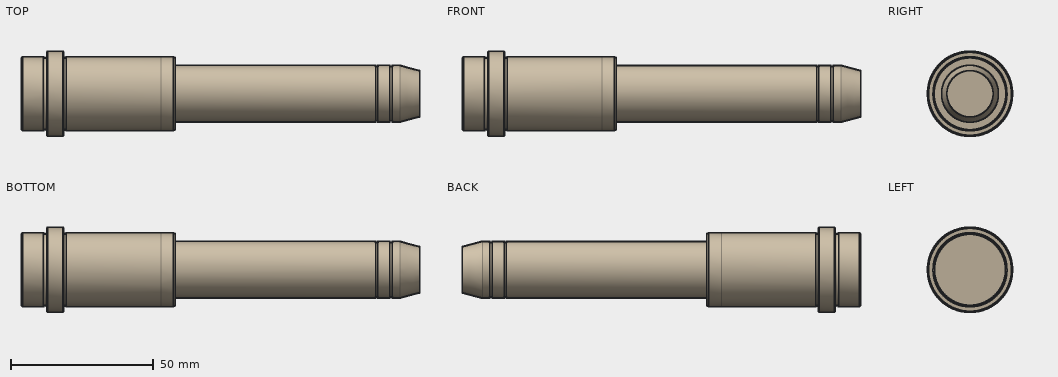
import cadquery as cq

total_length = 140.0

head_length = 9.0
head_chamfer = 0.5

collar_width = 6.0
collar_diameter = 30.0
collar_chamfer = 0.4

body_diameter = 26.0
body_end = 54.2
body_lead_start = 49.0
body_chamfer_length = 0.8
body_chamfer_depth = 0.4

relief_depth = 0.4
head_relief_width = 1.1
body_relief_width = 0.8

shank_diameter = 20.0
nose_length = 7.0
nose_tip_diameter = 16.2

oil_groove_count = 2
oil_groove_width = 0.8
oil_groove_depth = 0.4
oil_groove_pitch = 5.0
oil_groove_to_nose = 2.7

collar_end = head_length + collar_width
nose_start = total_length - nose_length
body_radius = body_diameter / 2
collar_radius = collar_diameter / 2
shank_radius = shank_diameter / 2
nose_tip_radius = nose_tip_diameter / 2
relief_radius = body_radius - relief_depth
last_groove_start = nose_start - oil_groove_to_nose - oil_groove_width


def revolve_about_axis(outline):
    """Turn a closed XZ outline about X, keeping the edge at the start of the body lead."""
    return outline.revolve(360, (0, 0, 0), (1, 0, 0), clean=False)


def make_pin():
    """Head, collar, body, shank and tapered nose, turned from one half outline."""
    outline = (
        cq.Workplane("XZ")
        .moveTo(0, 0)
        .lineTo(0, body_radius - head_chamfer)
        .lineTo(head_chamfer, body_radius)
        .lineTo(head_length - head_relief_width, body_radius)
        .threePointArc((head_length - head_relief_width / 2, relief_radius), (head_length, body_radius))
        .lineTo(head_length, collar_radius - collar_chamfer)
        .lineTo(head_length + collar_chamfer, collar_radius)
        .lineTo(collar_end - collar_chamfer, collar_radius)
        .lineTo(collar_end, collar_radius - collar_chamfer)
        .lineTo(collar_end, body_radius)
        .threePointArc(
            (collar_end + body_relief_width / 2, relief_radius),
            (collar_end + body_relief_width, body_radius),
        )
        .lineTo(body_lead_start, body_radius)
        .lineTo(body_end - body_chamfer_length, body_radius)
        .lineTo(body_end, body_radius - body_chamfer_depth)
        .lineTo(body_end, shank_radius)
        .lineTo(nose_start, shank_radius)
        .lineTo(total_length, nose_tip_radius)
        .lineTo(total_length, 0)
        .close()
    )
    return revolve_about_axis(outline)


def make_oil_groove(start):
    """Square-sided ring that cuts one oil groove around the shank."""
    return (
        cq.Workplane("YZ", origin=(start, 0, 0))
        .circle(shank_radius + oil_groove_depth)
        .circle(shank_radius - oil_groove_depth)
        .extrude(oil_groove_width)
    )


result = make_pin()
for index in range(oil_groove_count):
    groove_start = last_groove_start - index * oil_groove_pitch
    result = result.cut(make_oil_groove(groove_start), clean=False)